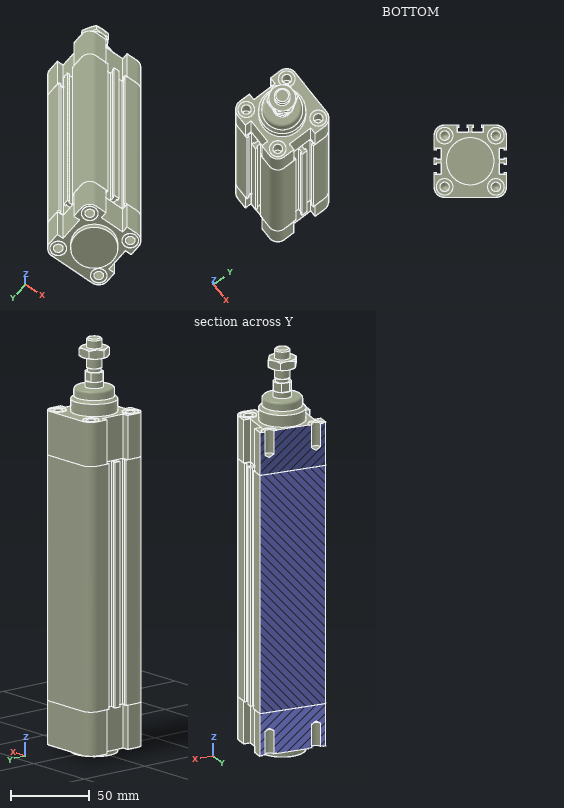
import cadquery as cq
import math

body_width = 46.0
corner_radius = 6.75
groove_width = 17.0
groove_depth = 4.6
groove_sides = (-90, 180, 0)

spigot_height = 4.0
cap_length = 29.0
tube_length = 161.0
tube_base = spigot_height + cap_length
tube_top = tube_base + tube_length
cap_top = tube_top + cap_length

slot_opening = 14.0
slot_chamber_width = 16.0
slot_lip = 1.6
rib_head_width = 4.0
rib_stem_width = 2.5

hole_spacing = 32.5
hole_diameter = 6.0
hole_depth = 16.0
hole_tip_angle = 118.0
recess_diameter = 10.5
recess_depth = 0.3

collar_diameter = 30.0
collar_height = 8.0
neck_diameter = 26.0
neck_top_height = 16.0
neck_fillet = 2.0

rod_diameter = 12.0
rod_length = 26.0
thread_diameter = 10.0
thread_length = 22.0
thread_chamfer = 1.0
undercut_diameter = 8.8
undercut_length = 2.5
waist_diameter = 11.5
waist_length = 6.0
flats_width = 10.0

nut_width = 17.0
hexagon_sides = 6
nut_height = 6.0
nut_chamfer_angle = 30.0
nut_to_rod_end = 6.2

rod_shoulder = cap_top + rod_length
rod_end = rod_shoulder + thread_length
nut_base = rod_end - nut_to_rod_end - nut_height


def box_on_side(angle, outer_inset, inner_inset, width, base, height):
    """Upright box between two insets from the body face that looks along the angle."""
    depth = inner_inset - outer_inset
    centre_distance = body_width / 2 - (outer_inset + inner_inset) / 2
    box = cq.Workplane("XY").box(depth, width, height, centered=(True, True, False))
    return box.translate((centre_distance, 0, base)).rotate((0, 0, 0), (0, 0, 1), angle)


def body_block(base, height):
    """Square block with rounded upright corners."""
    block = cq.Workplane("XY").workplane(offset=base).rect(body_width, body_width).extrude(height)
    return block.edges("|Z").fillet(corner_radius)


def mounting_hole_cutter():
    """Drilled hole with a conical end and a shallow recess, going down from the origin."""
    radius = hole_diameter / 2
    tip_length = radius / math.tan(math.radians(hole_tip_angle / 2))
    return (
        cq.Workplane("XZ")
        .moveTo(0, 0)
        .lineTo(recess_diameter / 2, 0)
        .lineTo(recess_diameter / 2, -recess_depth)
        .lineTo(radius, -recess_depth)
        .lineTo(radius, -hole_depth)
        .lineTo(0, -hole_depth - tip_length)
        .close()
        .revolve(360, (0, 0, 0), (0, 1, 0))
    )


def cap_block(base, holes_face_up):
    """End cap with grooved sides and four mounting holes in its outer face."""
    cap = body_block(base, cap_length)
    for angle in groove_sides:
        cap = cap.cut(box_on_side(angle, 0, groove_depth, groove_width, base, cap_length))
    cutter = mounting_hole_cutter()
    face_height = base + cap_length
    if not holes_face_up:
        cutter = cutter.mirror("XY")
        face_height = base
    half_spacing = hole_spacing / 2
    for x in (-half_spacing, half_spacing):
        for y in (-half_spacing, half_spacing):
            cap = cap.cut(cutter.translate((x, y, face_height)))
    return cap


def make_rear_cap():
    """Rear cap with a plain round spigot below it."""
    spigot = cq.Workplane("XY").circle(collar_diameter / 2).extrude(spigot_height)
    return cap_block(spigot_height, False).union(spigot)


def make_front_cap():
    """Front cap with a stepped, rounded collar and a through bore for the rod."""
    chamfer = (collar_diameter - neck_diameter) / 2
    collar = (
        cq.Workplane("XY")
        .workplane(offset=cap_top)
        .circle(collar_diameter / 2)
        .extrude(collar_height + chamfer)
        .faces(">Z")
        .chamfer(chamfer)
    )
    neck = cq.Workplane("XY").workplane(offset=cap_top).circle(neck_diameter / 2).extrude(neck_top_height)
    neck = neck.faces(">Z").edges().fillet(neck_fillet)
    bore = cq.Workplane("XY").workplane(offset=tube_top).circle(rod_diameter / 2)
    bore = bore.extrude(cap_length + neck_top_height)
    return cap_block(tube_top, True).union(collar).union(neck).cut(bore)


def make_tube():
    """Profile tube with a lipped slot and a T-shaped central rib on three sides."""
    tube = body_block(tube_base, tube_length)
    for angle in groove_sides:
        opening = box_on_side(angle, 0, slot_lip, slot_opening, tube_base, tube_length)
        chamber = box_on_side(angle, slot_lip, groove_depth, slot_chamber_width, tube_base, tube_length)
        rib_head = box_on_side(angle, 0, slot_lip, rib_head_width, tube_base, tube_length)
        rib_stem = box_on_side(angle, slot_lip, groove_depth, rib_stem_width, tube_base, tube_length)
        tube = tube.cut(opening.cut(rib_head)).cut(chamber.cut(rib_stem))
    return tube


def make_rod():
    """Piston rod with a waist that carries two wrench flats, an undercut and a threaded end."""
    waist_base = rod_shoulder - waist_length
    shank = cq.Workplane("XY").workplane(offset=tube_top).circle(rod_diameter / 2)
    shank = shank.extrude(waist_base - tube_top)
    waist = cq.Workplane("XY").workplane(offset=waist_base).circle(waist_diameter / 2).extrude(waist_length)
    between_flats = cq.Workplane("XY").workplane(offset=waist_base).rect(waist_diameter, flats_width)
    waist = waist.intersect(between_flats.extrude(waist_length))
    undercut = cq.Workplane("XY").workplane(offset=rod_shoulder).circle(undercut_diameter / 2)
    undercut = undercut.extrude(undercut_length)
    thread = cq.Workplane("XY").workplane(offset=rod_shoulder + undercut_length).circle(thread_diameter / 2)
    thread = thread.extrude(thread_length - undercut_length).faces(">Z").chamfer(thread_chamfer)
    return shank.union(waist).union(undercut).union(thread)


def make_nut():
    """Hexagon nut with corners along X and conical chamfers on both faces."""
    corner_diameter = nut_width / math.cos(math.radians(180 / hexagon_sides))
    half_corners = corner_diameter / 2
    chamfer_width = half_corners - nut_width / 2
    chamfer_height = chamfer_width * math.tan(math.radians(nut_chamfer_angle))
    hexagon = cq.Workplane("XY").polygon(hexagon_sides, corner_diameter).extrude(nut_height)
    envelope = cq.Workplane("XY").circle(half_corners).extrude(nut_height)
    envelope = envelope.edges().chamfer(chamfer_height, chamfer_width)
    bore = cq.Workplane("XY").circle(thread_diameter / 2).extrude(nut_height)
    return hexagon.intersect(envelope).cut(bore).translate((0, 0, nut_base))


rear_cap = make_rear_cap()
tube = make_tube()
front_cap = make_front_cap()
rod = make_rod()
nut = make_nut()

result = cq.Compound.makeCompound([rear_cap.val(), tube.val(), front_cap.val(), rod.val(), nut.val()])